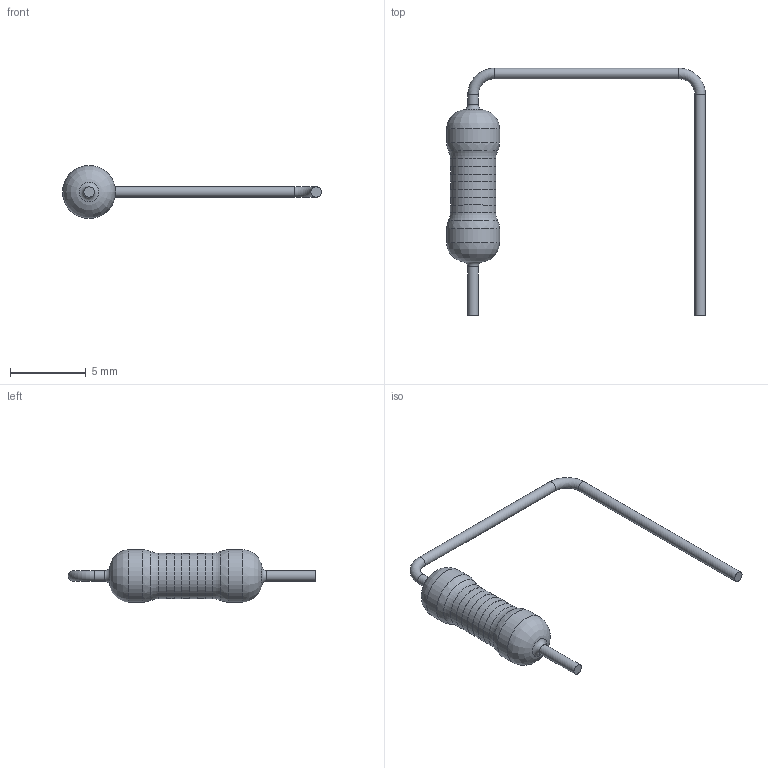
import math

import cadquery as cq


lead_radius = 0.7 / 2
lead_pitch = 15.0
bend_radius = 4 * lead_radius
lead_height = 16.35
crossbar_y = lead_height - lead_radius
bend_start_y = crossbar_y - bend_radius

cap_radius = 3.5 / 2
waist_radius = 3.0 / 2
groove_radius = 2.98 / 2
body_center_y = 8.585
cap_round_radius = 1.25
cap_round_start = 3.77
cap_flat_end = 2.84
waist_half_length = 1.78
seal_fillet_radius = lead_radius

groove_count = 3
stretch_count = 2 * groove_count + 1
stretch_width = 2 * waist_half_length / stretch_count


def cap_profile_points():
    """Curved profile points of one half body, each as (distance from centre, radius)."""
    neck_length = cap_flat_end - waist_half_length
    neck_drop = cap_radius - waist_radius
    neck_arc_radius = (neck_length**2 + neck_drop**2) / (4 * neck_drop)
    neck_mid = ((waist_half_length + cap_flat_end) / 2, (waist_radius + cap_radius) / 2)
    half_angle = math.asin(neck_length / 2 / neck_arc_radius) / 2
    arc_step = neck_arc_radius * math.sin(half_angle)
    arc_sag = neck_arc_radius * (1 - math.cos(half_angle))
    hollow = (waist_half_length + arc_step, waist_radius + arc_sag)
    crown = (cap_flat_end - arc_step, cap_radius - arc_sag)

    round_center_r = cap_radius - cap_round_radius
    fillet_center_r = lead_radius + seal_fillet_radius
    center_distance = cap_round_radius + seal_fillet_radius
    tilt = math.asin((fillet_center_r - round_center_r) / center_distance)
    fillet_center = cap_round_start + center_distance * math.cos(tilt)

    def on_round(angle):
        return (
            cap_round_start + cap_round_radius * math.cos(angle),
            round_center_r + cap_round_radius * math.sin(angle),
        )

    def on_fillet(angle):
        return (
            fillet_center - seal_fillet_radius * math.cos(angle),
            fillet_center_r - seal_fillet_radius * math.sin(angle),
        )

    right_angle = math.pi / 2
    middle_angle = (tilt + right_angle) / 2
    return {
        "hollow": hollow,
        "neck_mid": neck_mid,
        "crown": crown,
        "round_mid": on_round(middle_angle),
        "round_end": on_round(tilt),
        "fillet_mid": on_fillet(middle_angle),
        "fillet_end": on_fillet(right_angle),
    }


def revolve_about_body_axis(profile):
    return profile.close().revolve(360, (0, 0, 0), (0, 1, 0))


def make_half_body(direction):
    """Half of the body, on the +Y (1) or -Y (-1) side of its centre."""
    points = {
        name: (radius, body_center_y + direction * distance)
        for name, (distance, radius) in cap_profile_points().items()
    }

    def body_y(distance):
        return body_center_y + direction * distance

    profile = (
        cq.Workplane("XY")
        .moveTo(0, body_center_y)
        .lineTo(waist_radius, body_center_y)
        .lineTo(waist_radius, body_y(waist_half_length))
        .threePointArc(points["hollow"], points["neck_mid"])
        .threePointArc(points["crown"], (cap_radius, body_y(cap_flat_end)))
        .lineTo(cap_radius, body_y(cap_round_start))
        .threePointArc(points["round_mid"], points["round_end"])
        .threePointArc(points["fillet_mid"], points["fillet_end"])
        .lineTo(0, points["fillet_end"][1])
    )
    return revolve_about_body_axis(profile)


def make_groove(groove_index):
    """Ring to remove from the waist between two neighbouring bands."""
    start_y = body_center_y - waist_half_length + (2 * groove_index + 1) * stretch_width
    end_y = start_y + stretch_width
    profile = (
        cq.Workplane("XY")
        .moveTo(groove_radius, start_y)
        .lineTo(waist_radius, start_y)
        .lineTo(waist_radius, end_y)
        .lineTo(groove_radius, end_y)
    )
    return revolve_about_body_axis(profile)


def make_lead():
    """One wire through the body, over the two bends and down to the far tip."""
    bend_reach = bend_radius * (1 - math.sqrt(0.5))
    path = (
        cq.Workplane("XY")
        .moveTo(0, 0)
        .lineTo(0, bend_start_y)
        .threePointArc((bend_reach, crossbar_y - bend_reach), (bend_radius, crossbar_y))
        .lineTo(lead_pitch - bend_radius, crossbar_y)
        .threePointArc(
            (lead_pitch - bend_reach, crossbar_y - bend_reach),
            (lead_pitch, bend_start_y),
        )
        .lineTo(lead_pitch, 0)
    )
    return cq.Workplane("XZ").circle(lead_radius).sweep(path)


def make_body():
    """Two mirrored halves, with the grooves between the colour bands cut into the waist."""
    body = make_half_body(1).union(make_half_body(-1))
    for groove_index in range(groove_count):
        body = body.cut(make_groove(groove_index))
    return body


result = make_body().union(make_lead())